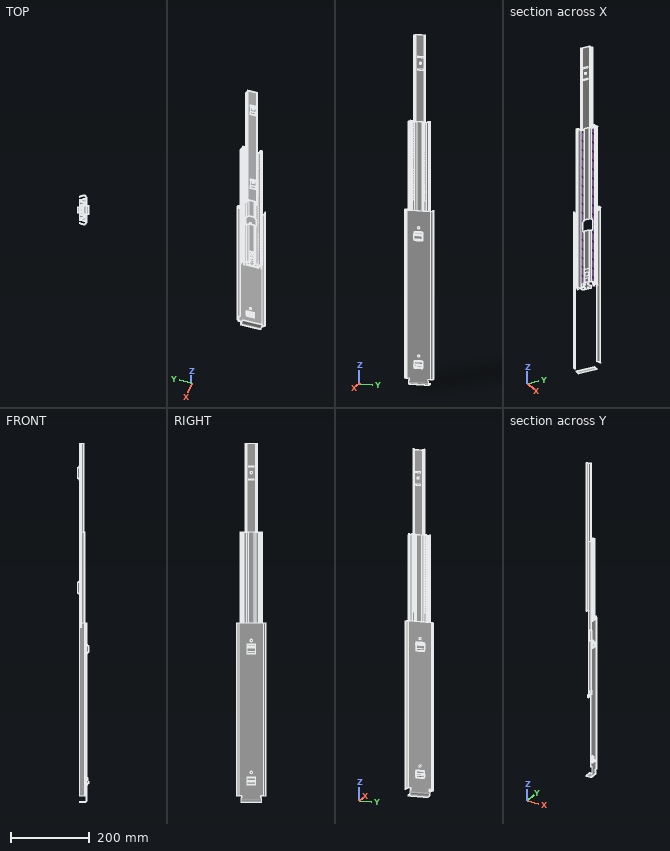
import cadquery as cq


EXTENDED_LENGTH = 914.4
SLIDE_HEIGHT = 76.19
RAIL_DEPTH = 19.1
OVERALL_DEPTH = 30.39
CLOSED_LENGTH = EXTENDED_LENGTH / 2

OPEN_X = -RAIL_DEPTH / 2
BACK_X = RAIL_DEPTH / 2
HOOK_HEIGHT = (OVERALL_DEPTH - RAIL_DEPTH) / 2
SHEET = 2.0
HOOK_SHEET = 1.5

OUTER_HALF = SLIDE_HEIGHT / 2
OUTER_BOTTOM = 16.0
OUTER_CREST_X = 4.0
OUTER_LIP_HALF = 34.0
OUTER_WEB_HALF = 31.7
OUTER_NOTCH_LENGTH = 11.5
OUTER_NOTCH_DEPTH = 5.5
TAB_HALF = 26.5
TAB_NECK_HALF = 24.8
RELIEF_HALF = 30.3
RELIEF_BOTTOM = 11.5
RELIEF_TOP = 17.0
TAB_BEND_RADIUS = 6.0
OUTER_HOOK_HALF = 11.0
OUTER_HOLE = 5.5
OUTER_HOLE_HEIGHTS = (76.6, 412.5)
OUTER_HOOKS = (
    (63.0, 55.5, HOOK_HEIGHT / 2),
    (46.0, 54.0, HOOK_HEIGHT),
    (401.0, 395.0, HOOK_HEIGHT),
    (380.5, 393.5, HOOK_HEIGHT),
)

MIDDLE_BOTTOM = 238.5
MIDDLE_TOP = 688.5
MIDDLE_HALF = 29.0
MIDDLE_BACK_X = 5.0
MIDDLE_FOLD_HALF = 20.7
MIDDLE_CHANNEL_HALF = 18.0
GROOVE_X = -4.0
GROOVE_DEPTH = 2.6
MIDDLE_FLARE_X = 1.4
RIDGE_FOOT_HALF = 12.4
RIDGE_STEP_HALF = 9.65
RIDGE_TOP_HALF = 6.9
RIDGE_STEP = 2.0
RIDGE_HEIGHT = 5.0
WINDOW_WIDTH = 27.6
WINDOW_BOTTOM = 398.0
WINDOW_TOP = 429.5
WINDOW_CORNER = 4.0
END_NOTCH_HALF = 16.0
END_NOTCH_LENGTH = 13.0

INNER_LENGTH = 431.8
INNER_BOTTOM = EXTENDED_LENGTH - INNER_LENGTH
INNER_HALF = 15.8
INNER_FLARE_X = 0.6
INNER_EDGE_X = 2.0
INNER_HOOK_HALF = 7.5
INNER_HOLE = 5.5
CLIP_SPACING = 292.1
CLIP_HOLE_HEIGHTS = (547.9, 547.9 + CLIP_SPACING)
CLIP_HOOKS = ((17.5, 8.5), (-19.0, 5.5))

LATCH_BOTTOM = 231.0
LATCH_TOP = 288.5
LATCH_BAR_HALF = 7.0
LATCH_FOOT_HALF = 13.8
LATCH_FOOT_TOP = MIDDLE_BOTTOM
LATCH_THICKNESS = 3.5
LATCH_TOP_BEVEL = 3.0
LATCH_FOOT_CORNER = 2.5
LATCH_HOLE = 11.0
LATCH_HOLE_HEIGHT = 274.0
LATCH_SLOT_WIDTH = 11.0
LATCH_SLOT_BOTTOM = 251.0
LATCH_SLOT_TOP = 262.5
LATCH_PIN_HOLE = 2.4
LATCH_PIN_HALF_SPACING = 4.1
LATCH_PIN_HEIGHTS = (234.5, 245.0)

CUT_REACH = 100.0


def block(x_range, half_width, z_range):
    """Box centred on Y = 0."""
    (x0, x1), (z0, z1) = x_range, z_range
    return cq.Workplane("XY").box(x1 - x0, 2 * half_width, z1 - z0).translate(
        ((x0 + x1) / 2, 0, (z0 + z1) / 2)
    )


def cross_hole(diameter, y, z):
    """Cylinder along X, for a hole through a web."""
    return cq.Workplane("YZ").center(y, z).circle(diameter / 2).extrude(CUT_REACH / 2, both=True)


def hook(face_x, outward, half_width, root_z, tip_z, reach):
    """Tongue bent out of a web: a ramp at its root, then a flat run to its tip."""
    run = reach if tip_z > root_z else -reach
    top = face_x + outward * reach
    under = top - outward * HOOK_SHEET
    buried = face_x - outward * SHEET / 2
    outline = [
        (buried, root_z),
        (face_x, root_z),
        (top, root_z + run),
        (top, tip_z),
        (under, tip_z),
        (under, root_z + run),
        (buried, root_z + run / 2),
    ]
    return cq.Workplane("XZ").polyline(outline).close().extrude(half_width, both=True)


def sheet_rail(half_outline, bottom, top):
    """Half section on the +Y side, mirrored across Y = 0 and extruded from bottom to top."""
    half = half_outline.close().extrude(top - bottom)
    return half.union(half.mirror("XZ")).translate((0, 0, bottom))


def outer_section():
    mid_x = (OPEN_X + OUTER_CREST_X) / 2
    mid_y = OUTER_HALF - (OUTER_HALF - OUTER_LIP_HALF) / 4
    return (
        cq.Workplane("XY")
        .moveTo(BACK_X, 0)
        .lineTo(BACK_X, OUTER_WEB_HALF)
        .lineTo(OUTER_CREST_X, OUTER_HALF)
        .threePointArc((mid_x, mid_y), (OPEN_X, OUTER_LIP_HALF))
        .lineTo(OPEN_X, OUTER_LIP_HALF - SHEET)
        .threePointArc((mid_x, mid_y - SHEET), (OUTER_CREST_X - SHEET / 2, OUTER_HALF - SHEET))
        .lineTo(BACK_X - SHEET, OUTER_WEB_HALF - SHEET / 2)
        .lineTo(BACK_X - SHEET, 0)
    )


def end_tab():
    """Web carried on below the flanges and bent toward the open side."""
    outline = (
        cq.Workplane("XZ")
        .moveTo(BACK_X, OUTER_BOTTOM)
        .lineTo(BACK_X, TAB_BEND_RADIUS)
        .radiusArc((BACK_X - TAB_BEND_RADIUS, 0), TAB_BEND_RADIUS)
        .lineTo(OPEN_X, 0)
        .lineTo(OPEN_X, SHEET)
        .lineTo(BACK_X - TAB_BEND_RADIUS, SHEET)
        .radiusArc((BACK_X - SHEET, TAB_BEND_RADIUS), SHEET - TAB_BEND_RADIUS)
        .lineTo(BACK_X - SHEET, OUTER_BOTTOM)
        .close()
    )
    return outline.extrude(TAB_HALF, both=True)


def tab_reliefs():
    web_x = (BACK_X - SHEET, BACK_X)
    relief_z = (RELIEF_BOTTOM, RELIEF_TOP)
    return block(web_x, RELIEF_HALF, relief_z).cut(block(web_x, TAB_NECK_HALF, relief_z))


def make_outer_rail():
    rail = sheet_rail(outer_section(), OUTER_BOTTOM, CLOSED_LENGTH)
    notch_z = (CLOSED_LENGTH - OUTER_NOTCH_LENGTH, CLOSED_LENGTH)
    rail = rail.cut(block((OPEN_X, OPEN_X + OUTER_NOTCH_DEPTH), OUTER_HALF, notch_z))
    rail = rail.union(end_tab()).cut(tab_reliefs())
    for root_z, tip_z, _ in OUTER_HOOKS:
        opening_z = (min(root_z, tip_z), max(root_z, tip_z))
        rail = rail.cut(block((BACK_X - SHEET, BACK_X), OUTER_HOOK_HALF, opening_z))
    for root_z, tip_z, reach in OUTER_HOOKS:
        joined_root = root_z - SHEET if tip_z > root_z else root_z + SHEET
        rail = rail.union(hook(BACK_X, 1, OUTER_HOOK_HALF, joined_root, tip_z, reach))
    for z in OUTER_HOLE_HEIGHTS:
        rail = rail.cut(cross_hole(OUTER_HOLE, 0, z))
    return rail


WEB_FRONT_X = MIDDLE_BACK_X - SHEET
RIDGE_FRONT_X = WEB_FRONT_X - RIDGE_HEIGHT


def middle_section():
    """Stepped ridge, web, channel wall, folded front face and grooved outer wall."""
    front = [
        (RIDGE_FRONT_X, RIDGE_TOP_HALF),
        (WEB_FRONT_X - RIDGE_STEP, RIDGE_STEP_HALF),
        (WEB_FRONT_X, RIDGE_FOOT_HALF),
        (WEB_FRONT_X, MIDDLE_CHANNEL_HALF),
        (OPEN_X, MIDDLE_FOLD_HALF),
        (OPEN_X, MIDDLE_HALF - GROOVE_DEPTH),
        (GROOVE_X, MIDDLE_HALF - GROOVE_DEPTH),
        (MIDDLE_FLARE_X, MIDDLE_HALF),
        (MIDDLE_BACK_X, MIDDLE_HALF),
    ]
    back = [
        (MIDDLE_BACK_X, MIDDLE_HALF - SHEET),
        (MIDDLE_FLARE_X, MIDDLE_HALF - SHEET),
        (GROOVE_X, MIDDLE_HALF - GROOVE_DEPTH - SHEET),
        (OPEN_X + SHEET, MIDDLE_HALF - GROOVE_DEPTH - SHEET),
        (OPEN_X + SHEET, MIDDLE_FOLD_HALF + SHEET),
        (MIDDLE_BACK_X, MIDDLE_CHANNEL_HALF + SHEET),
        (MIDDLE_BACK_X, RIDGE_FOOT_HALF),
        (MIDDLE_BACK_X - RIDGE_STEP, RIDGE_STEP_HALF),
        (RIDGE_FRONT_X + SHEET, RIDGE_TOP_HALF),
        (RIDGE_FRONT_X + SHEET, 0),
    ]
    return cq.Workplane("XY").polyline([(RIDGE_FRONT_X, 0)] + front + back)


def make_middle_rail():
    rail = sheet_rail(middle_section(), MIDDLE_BOTTOM, MIDDLE_TOP)
    web_x = (RIDGE_FRONT_X, MIDDLE_BACK_X)
    window = block(web_x, WINDOW_WIDTH / 2, (WINDOW_BOTTOM, WINDOW_TOP))
    rail = rail.cut(window.edges("|X").fillet(WINDOW_CORNER))
    end_notch = block(web_x, END_NOTCH_HALF, (MIDDLE_BOTTOM, MIDDLE_BOTTOM + END_NOTCH_LENGTH))
    return rail.cut(end_notch)


def inner_section():
    outline = [
        (OPEN_X, 0),
        (OPEN_X, INNER_HALF - GROOVE_DEPTH),
        (GROOVE_X, INNER_HALF - GROOVE_DEPTH),
        (INNER_FLARE_X, INNER_HALF),
        (INNER_EDGE_X, INNER_HALF),
        (INNER_EDGE_X, INNER_HALF - SHEET),
        (INNER_FLARE_X, INNER_HALF - SHEET),
        (GROOVE_X, INNER_HALF - GROOVE_DEPTH - SHEET),
        (OPEN_X + SHEET, INNER_HALF - GROOVE_DEPTH - SHEET),
        (OPEN_X + SHEET, 0),
    ]
    return cq.Workplane("XY").polyline(outline)


def make_inner_rail():
    rail = sheet_rail(inner_section(), INNER_BOTTOM, EXTENDED_LENGTH)
    for z in CLIP_HOLE_HEIGHTS:
        for root, tip in CLIP_HOOKS:
            rail = rail.union(hook(OPEN_X, -1, INNER_HOOK_HALF, z + root, z + tip, HOOK_HEIGHT))
        rail = rail.cut(cross_hole(INNER_HOLE, 0, z))
    return rail


def make_latch():
    """Bar lying on the middle rail's ridge, with a wide foot past the rail's lower end."""
    latch_x = (RIDGE_FRONT_X - LATCH_THICKNESS, RIDGE_FRONT_X)
    bar = block(latch_x, LATCH_BAR_HALF, (LATCH_BOTTOM, LATCH_TOP))
    bar = bar.faces(">Z").edges("<X").chamfer(LATCH_TOP_BEVEL)
    foot = block(latch_x, LATCH_FOOT_HALF, (LATCH_BOTTOM, LATCH_FOOT_TOP))
    foot = foot.edges("|X and <Z").fillet(LATCH_FOOT_CORNER)
    latch = bar.union(foot)
    latch = latch.cut(cross_hole(LATCH_HOLE, 0, LATCH_HOLE_HEIGHT))
    latch = latch.cut(block(latch_x, LATCH_SLOT_WIDTH / 2, (LATCH_SLOT_BOTTOM, LATCH_SLOT_TOP)))
    for z in LATCH_PIN_HEIGHTS:
        for side in (-1, 1):
            latch = latch.cut(cross_hole(LATCH_PIN_HOLE, side * LATCH_PIN_HALF_SPACING, z))
    return latch


outer_rail = make_outer_rail()
middle_rail = make_middle_rail()
inner_rail = make_inner_rail()
latch = make_latch()

result = cq.Compound.makeCompound(
    [outer_rail.val(), middle_rail.val(), inner_rail.val(), latch.val()]
)